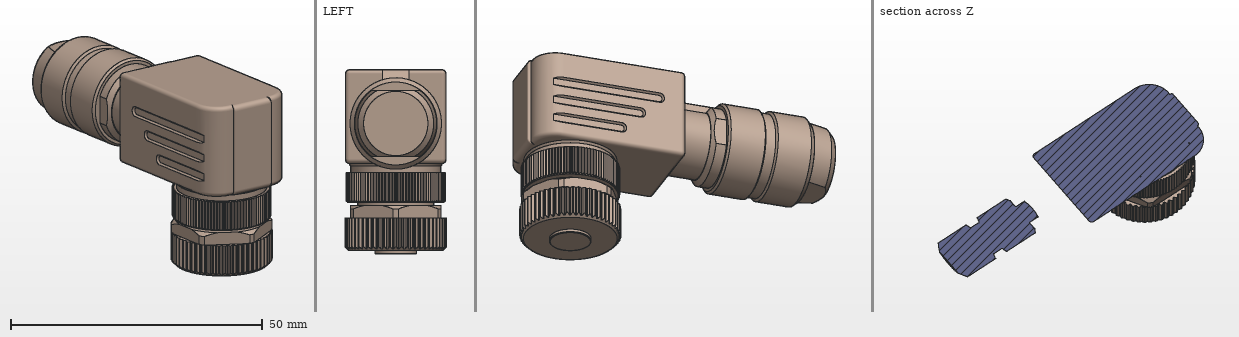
import cadquery as cq
import math


HOUSING_HALF_WIDTH = 10.0
HOUSING_FRONT_X = -20.85
HOUSING_BACK_X = HOUSING_HALF_WIDTH
HOUSING_TOP_Z = 10.7
HOUSING_BOTTOM_Z = -8.0
HOUSING_CORNER_RADIUS = 5.0
HOUSING_EDGE_RADIUS = 0.85

TAB_WIDTH = 9.1
TAB_HEIGHT_ABOVE_WALL = 0.6
TAB_END_RADIUS = 1.05
TAB_SIDE_RADIUS = 0.3

GROOVE_COUNT = 3
GROOVE_PITCH = 4.0
GROOVE_WIDTH = 2.1
GROOVE_FIRST_X = -16.3
GROOVE_DEPTH = 0.42
GROOVE_TAPER_ANGLE = 40.0
GROOVE_END_MARGIN = 2.0

GLAND_END_X = -53.8
TIP_END_RADIUS = 6.4
TIP_FRONT_RADIUS = 7.55
TIP_REAR_RADIUS = 8.15
TIP_CHAMFER_LENGTH = 1.25
TIP_LENGTH = 5.1
TIP_HALF_ACROSS_FLATS = 6.6
COLLAR_RADIUS = 9.1
COLLAR_FRONT_RADIUS = 8.25
COLLAR_FRONT_CHAMFER = 1.0
COLLAR_REAR_X = -30.3
COLLAR_REAR_CHAMFER = 0.45
COLLAR_GROOVE_RADIUS = 8.55
COLLAR_GROOVE_START_X = -40.7
COLLAR_GROOVE_END_X = -37.95
COLLAR_GROOVE_CHAMFER = 0.35

SLEEVE_RADIUS = 8.0
SLEEVE_END_X = -27.25
SLEEVE_CHAMFER_LENGTH = 0.9
SLEEVE_CHAMFER_HEIGHT = 1.05
SLEEVE_HALF_ACROSS_FLATS = 7.5
NECK_RADIUS = 6.8
NECK_RING_RADIUS = 7.0
NECK_RING_LENGTH = 0.3
KEY_HALF_WIDTH = 4.3

GUSSET_WIDTH = 5.2
GUSSET_TOE_X = -23.1
GUSSET_TOE_Z = 7.62
GUSSET_HEAD_X = -20.45
GUSSET_HEAD_Z = 10.65

OUTLET_RADIUS = 9.0
OUTLET_FLARE_RADIUS = 9.3
OUTLET_FLARE_BOTTOM_Z = -8.5
KNURL_TOP_Z = -9.7
KNURL_BOTTOM_Z = -15.75
KNURL_RADIUS = 9.85
KNURL_GROOVES = 96
KNURL_GROOVE_DEPTH = 0.3
KNURL_LAND_SHARE = 0.08
KNURL_FLOOR_SHARE = 0.08
KNURL_TOP_CHAMFER = 0.12
KNURL_BOTTOM_CHAMFER = 0.35
OUTLET_NECK_RADIUS = 7.6

NUT_TOP_Z = -16.3
HEX_BOTTOM_Z = -18.8
NUT_BOTTOM_Z = -25.3
NUT_RADIUS = 10.09
NUT_ACROSS_FLATS = 18.0
NUT_TOP_CHAMFER_HEIGHT = 0.7
NUT_TOP_CHAMFER_WIDTH = 0.87
NUT_BOTTOM_CHAMFER = 0.75
NUT_GROOVES = 54
NUT_GROOVE_DEPTH = 0.4
NUT_LAND_SHARE = 0.2
NUT_FLOOR_SHARE = 0.2
INSERT_RADIUS = 4.15
INSERT_BOTTOM_Z = -26.0
INSERT_CHAMFER = 0.15


def cylinder_x(radius, x_start, x_end):
    return cq.Workplane("YZ", origin=(x_start, 0, 0)).circle(radius).extrude(x_end - x_start)


def cylinder_z(radius, z_bottom, z_top):
    return cq.Workplane("XY", origin=(0, 0, z_bottom)).circle(radius).extrude(z_top - z_bottom)


def box(x_range, y_range, z_range):
    size = [high - low for low, high in (x_range, y_range, z_range)]
    corner = cq.Vector(x_range[0], y_range[0], z_range[0])
    return cq.Workplane(cq.Solid.makeBox(size[0], size[1], size[2], corner))


def symmetric(half):
    return (-half, half)


def make_housing():
    body = box(
        (HOUSING_FRONT_X, HOUSING_BACK_X),
        symmetric(HOUSING_HALF_WIDTH),
        (HOUSING_BOTTOM_Z, HOUSING_TOP_Z),
    )
    body = body.edges("|Z and >X").fillet(HOUSING_CORNER_RADIUS)
    return body.faces("<X or >Z or <Z").edges().fillet(HOUSING_EDGE_RADIUS)


def make_tab():
    tab = box(
        (HOUSING_BACK_X - HOUSING_EDGE_RADIUS, HOUSING_BACK_X + TAB_HEIGHT_ABOVE_WALL),
        symmetric(TAB_WIDTH / 2),
        (HOUSING_BOTTOM_Z, HOUSING_TOP_Z),
    )
    tab = tab.edges("|Y and >X").fillet(TAB_END_RADIUS)
    return tab.edges("|Z and >X").fillet(TAB_SIDE_RADIUS)


def make_grip_groove(start_x, z):
    """Tapered groove with a round end, sunk into the -Y wall and running out at the corner."""
    end_x = HOUSING_BACK_X + GROOVE_END_MARGIN
    slot = cq.Workplane("XZ", origin=((start_x + end_x) / 2, -HOUSING_HALF_WIDTH, z))
    slot = slot.slot2D(end_x - start_x, GROOVE_WIDTH)
    return slot.extrude(-GROOVE_DEPTH, taper=GROOVE_TAPER_ANGLE)


def cut_grip_grooves(part):
    for index in range(GROOVE_COUNT):
        z = GROOVE_PITCH * ((GROOVE_COUNT - 1) / 2 - index)
        groove = make_grip_groove(GROOVE_FIRST_X + index * GROOVE_PITCH, z)
        part = part.cut(groove).cut(groove.mirror("XZ"))
    return part


def make_gland_tip():
    chamfer_x = GLAND_END_X + TIP_CHAMFER_LENGTH
    rear_x = GLAND_END_X + TIP_LENGTH
    tip = (
        cq.Workplane("XY")
        .moveTo(GLAND_END_X, 0)
        .lineTo(GLAND_END_X, TIP_END_RADIUS)
        .lineTo(chamfer_x, TIP_FRONT_RADIUS)
        .lineTo(rear_x, TIP_REAR_RADIUS)
        .lineTo(rear_x, 0)
        .close()
        .revolve(360, (0, 0, 0), (1, 0, 0))
    )
    flats = box(
        (GLAND_END_X, rear_x),
        symmetric(COLLAR_RADIUS),
        symmetric(TIP_HALF_ACROSS_FLATS),
    )
    return tip.intersect(flats)


def make_collar():
    front_x = GLAND_END_X + TIP_LENGTH
    return (
        cq.Workplane("XY")
        .moveTo(front_x, 0)
        .lineTo(front_x, COLLAR_FRONT_RADIUS)
        .lineTo(front_x + COLLAR_FRONT_CHAMFER, COLLAR_RADIUS)
        .lineTo(COLLAR_GROOVE_START_X, COLLAR_RADIUS)
        .lineTo(COLLAR_GROOVE_START_X + COLLAR_GROOVE_CHAMFER, COLLAR_GROOVE_RADIUS)
        .lineTo(COLLAR_GROOVE_END_X - COLLAR_GROOVE_CHAMFER, COLLAR_GROOVE_RADIUS)
        .lineTo(COLLAR_GROOVE_END_X, COLLAR_RADIUS)
        .lineTo(COLLAR_REAR_X - COLLAR_REAR_CHAMFER, COLLAR_RADIUS)
        .lineTo(COLLAR_REAR_X, COLLAR_RADIUS - COLLAR_REAR_CHAMFER)
        .lineTo(COLLAR_REAR_X, 0)
        .close()
        .revolve(360, (0, 0, 0), (1, 0, 0))
    )


def make_sleeve():
    """Sleeve with side flats, the thinner neck behind it and the key along the top."""
    sleeve = cylinder_x(SLEEVE_RADIUS, COLLAR_REAR_X, SLEEVE_END_X)
    sleeve = sleeve.faces(">X").chamfer(SLEEVE_CHAMFER_LENGTH, SLEEVE_CHAMFER_HEIGHT)
    flats = box(
        (COLLAR_REAR_X, SLEEVE_END_X),
        symmetric(SLEEVE_HALF_ACROSS_FLATS),
        symmetric(SLEEVE_RADIUS),
    )
    key_bounds = box(
        (COLLAR_REAR_X, HOUSING_FRONT_X),
        symmetric(KEY_HALF_WIDTH),
        (0, SLEEVE_RADIUS),
    )
    key = cylinder_x(SLEEVE_RADIUS, COLLAR_REAR_X, HOUSING_FRONT_X).intersect(key_bounds)
    neck = cylinder_x(NECK_RADIUS, COLLAR_REAR_X, HOUSING_FRONT_X)
    ring = cylinder_x(NECK_RING_RADIUS, HOUSING_FRONT_X - NECK_RING_LENGTH, HOUSING_FRONT_X)
    return sleeve.intersect(flats).union(neck).union(ring).union(key)


def make_gusset():
    return (
        cq.Workplane("XZ")
        .moveTo(GUSSET_TOE_X, GUSSET_TOE_Z)
        .lineTo(GUSSET_HEAD_X, GUSSET_HEAD_Z)
        .lineTo(GUSSET_HEAD_X + HOUSING_EDGE_RADIUS, GUSSET_HEAD_Z)
        .lineTo(GUSSET_HEAD_X + HOUSING_EDGE_RADIUS, NECK_RADIUS)
        .lineTo(GUSSET_TOE_X, NECK_RADIUS)
        .close()
        .extrude(GUSSET_WIDTH / 2, both=True)
    )


def polar_point(radius, angle):
    return (radius * math.cos(angle), radius * math.sin(angle))


def make_knurl(radius, groove_depth, count, land_share, floor_share, z_bottom, z_top):
    """Ring of flat-topped teeth; the shares are the parts of the pitch taken by land and groove floor."""
    pitch = 2 * math.pi / count
    root_radius = radius - groove_depth
    points = []
    for index in range(count):
        land_middle = index * pitch
        floor_middle = land_middle + pitch / 2
        for side in (-0.5, 0.5):
            points.append(polar_point(radius, land_middle + side * land_share * pitch))
        for side in (-0.5, 0.5):
            points.append(polar_point(root_radius, floor_middle + side * floor_share * pitch))
    return cq.Workplane("XY", origin=(0, 0, z_bottom)).polyline(points).close().extrude(z_top - z_bottom)


def make_outlet():
    """Flared outlet of the housing, its knurled ring and the neck above the nut."""
    flare_height = HOUSING_BOTTOM_Z - OUTLET_FLARE_BOTTOM_Z
    flare_width = OUTLET_FLARE_RADIUS - OUTLET_RADIUS
    flare = cylinder_z(OUTLET_FLARE_RADIUS, OUTLET_FLARE_BOTTOM_Z, HOUSING_BOTTOM_Z + HOUSING_EDGE_RADIUS)
    flare = flare.faces("<Z").chamfer(flare_height, flare_width)
    outlet = cylinder_z(OUTLET_RADIUS, KNURL_TOP_Z, OUTLET_FLARE_BOTTOM_Z)
    blank = cylinder_z(KNURL_RADIUS, KNURL_BOTTOM_Z, KNURL_TOP_Z)
    blank = blank.faces(">Z").chamfer(KNURL_TOP_CHAMFER).faces("<Z").chamfer(KNURL_BOTTOM_CHAMFER)
    teeth = make_knurl(
        KNURL_RADIUS,
        KNURL_GROOVE_DEPTH,
        KNURL_GROOVES,
        KNURL_LAND_SHARE,
        KNURL_FLOOR_SHARE,
        KNURL_BOTTOM_Z,
        KNURL_TOP_Z,
    )
    neck = cylinder_z(OUTLET_NECK_RADIUS, NUT_TOP_Z, KNURL_BOTTOM_Z)
    return flare.union(outlet).union(teeth.intersect(blank)).union(neck)


def make_nut():
    """Hexagon with chamfered corners above a knurled rim, and the contact insert below."""
    corner_diameter = NUT_ACROSS_FLATS / math.cos(math.pi / 6)
    hexagon = cq.Workplane("XY", origin=(0, 0, HEX_BOTTOM_Z)).polygon(6, corner_diameter)
    hexagon = hexagon.extrude(NUT_TOP_Z - HEX_BOTTOM_Z)
    hex_blank = cylinder_z(NUT_RADIUS, HEX_BOTTOM_Z, NUT_TOP_Z)
    hex_blank = hex_blank.faces(">Z").chamfer(NUT_TOP_CHAMFER_HEIGHT, NUT_TOP_CHAMFER_WIDTH)
    rim_blank = cylinder_z(NUT_RADIUS, NUT_BOTTOM_Z, HEX_BOTTOM_Z).faces("<Z").chamfer(NUT_BOTTOM_CHAMFER)
    rim = make_knurl(
        NUT_RADIUS,
        NUT_GROOVE_DEPTH,
        NUT_GROOVES,
        NUT_LAND_SHARE,
        NUT_FLOOR_SHARE,
        NUT_BOTTOM_Z,
        HEX_BOTTOM_Z,
    )
    insert = cylinder_z(INSERT_RADIUS, INSERT_BOTTOM_Z, NUT_BOTTOM_Z).faces("<Z").chamfer(INSERT_CHAMFER)
    return hexagon.intersect(hex_blank).union(rim.intersect(rim_blank)).union(insert)


result = cut_grip_grooves(make_housing())
for feature in (
    make_tab(),
    make_gusset(),
    make_sleeve(),
    make_collar(),
    make_gland_tip(),
    make_outlet(),
    make_nut(),
):
    result = result.union(feature)